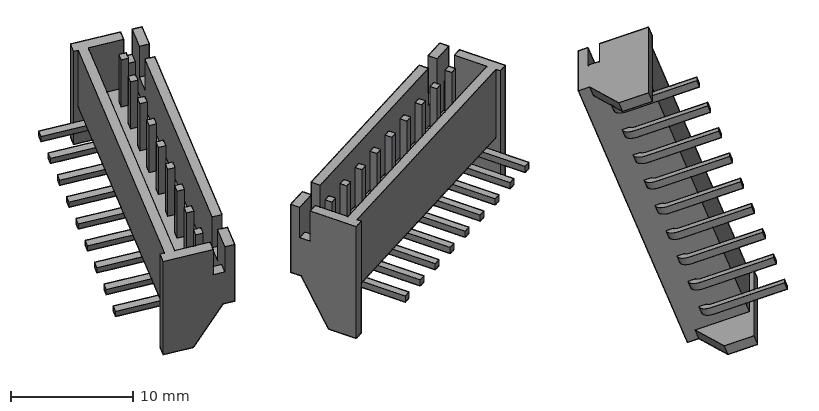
import cadquery as cq
import math


PIN_COUNT = 9
PITCH = 2.5
PIN_SIZE = 0.64
PIN_TIP_BELOW_RIM = 0.2
PIN_DROP = 0.28
BEND_INNER_RADIUS = 0.5
LEG_PROTRUSION = 3.4

LENGTH = 24.9
HEIGHT = 11.5
DEPTH = 6.15
WALL = 0.86
SHROUD_HEIGHT = 7.0
FLOOR = 1.0
FRONT_RECESS = 0.4
BACK_TO_PIN = 2.36

FOOT_STEP = 1.0
FOOT_LENGTH = 2.6
SIDE_NOTCH_WIDTH = 0.98
SIDE_NOTCH_DEPTH = 3.1

BACK_SLOT_FROM_END = 1.97
BACK_SLOT_WIDTH = 1.45
BACK_SLOT_DEPTH = 3.8

BACK_Y = BACK_TO_PIN
FRONT_Y = BACK_Y - DEPTH
WALL_FRONT_Y = FRONT_Y + FRONT_RECESS
SHROUD_BOTTOM_Z = HEIGHT - SHROUD_HEIGHT
END_X = LENGTH / 2


def block(x_range, y_range, z_range):
    """Axis-aligned box between the given limits."""
    size = [high - low for low, high in (x_range, y_range, z_range)]
    corner = (x_range[0], y_range[0], z_range[0])
    return cq.Workplane("XY").box(*size, centered=False).translate(corner)


def make_shroud():
    """Full-length open-top box with a floor, before any slots are cut."""
    shroud = block((-END_X, END_X), (WALL_FRONT_Y, BACK_Y), (SHROUD_BOTTOM_Z, HEIGHT))
    cavity = block(
        (-END_X + WALL, END_X - WALL),
        (WALL_FRONT_Y + WALL, BACK_Y - WALL),
        (SHROUD_BOTTOM_Z + FLOOR, HEIGHT),
    )
    return shroud.cut(cavity)


def make_end_plate(left_x):
    """Plate closing one end of the shroud, with its tapered foot."""
    outline = [
        (FRONT_Y, 0),
        (FRONT_Y, HEIGHT),
        (BACK_Y, HEIGHT),
        (BACK_Y, SHROUD_BOTTOM_Z),
        (BACK_Y - FOOT_STEP, SHROUD_BOTTOM_Z),
        (FRONT_Y + FOOT_LENGTH, 0),
    ]
    plate = cq.Workplane("YZ").polyline(outline).close().extrude(WALL)
    return plate.translate((left_x, 0, 0))


def make_side_notches():
    """Notch through both end plates, just inside the back wall."""
    notch_back_y = BACK_Y - WALL
    return block(
        (-END_X, END_X),
        (notch_back_y - SIDE_NOTCH_WIDTH, notch_back_y),
        (HEIGHT - SIDE_NOTCH_DEPTH, HEIGHT),
    )


def make_back_slot(left_x):
    """Slot through the back wall, open at the rim."""
    return block(
        (left_x, left_x + BACK_SLOT_WIDTH),
        (BACK_Y - WALL, BACK_Y),
        (HEIGHT - BACK_SLOT_DEPTH, HEIGHT),
    )


def make_pin(x):
    """Square pin: upright in the shroud, then bent forward below it."""
    half = PIN_SIZE / 2
    outer_radius = BEND_INNER_RADIUS + PIN_SIZE
    tip_z = HEIGHT - PIN_TIP_BELOW_RIM
    leg_top_z = SHROUD_BOTTOM_Z - PIN_DROP
    leg_bottom_z = leg_top_z - PIN_SIZE
    leg_end_y = FRONT_Y - LEG_PROTRUSION

    bend_y = -half - BEND_INNER_RADIUS
    bend_z = leg_top_z + BEND_INNER_RADIUS
    diagonal = math.cos(math.radians(45))
    inner_middle = (bend_y + BEND_INNER_RADIUS * diagonal, bend_z - BEND_INNER_RADIUS * diagonal)
    outer_middle = (bend_y + outer_radius * diagonal, bend_z - outer_radius * diagonal)

    profile = (
        cq.Workplane("YZ")
        .moveTo(-half, tip_z)
        .lineTo(-half, bend_z)
        .threePointArc(inner_middle, (bend_y, leg_top_z))
        .lineTo(leg_end_y, leg_top_z)
        .lineTo(leg_end_y, leg_bottom_z)
        .lineTo(bend_y, leg_bottom_z)
        .threePointArc(outer_middle, (half, bend_z))
        .lineTo(half, tip_z)
        .close()
    )
    return profile.extrude(PIN_SIZE).translate((x - half, 0, 0))


result = make_shroud()

for plate_x in (-END_X, END_X - WALL):
    result = result.union(make_end_plate(plate_x))

result = result.cut(make_side_notches())

first_slot_x = -END_X + BACK_SLOT_FROM_END
for slot_x in (first_slot_x, -first_slot_x - BACK_SLOT_WIDTH):
    result = result.cut(make_back_slot(slot_x))

for pin_index in range(PIN_COUNT):
    pin_x = (pin_index - (PIN_COUNT - 1) / 2) * PITCH
    result = result.union(make_pin(pin_x))